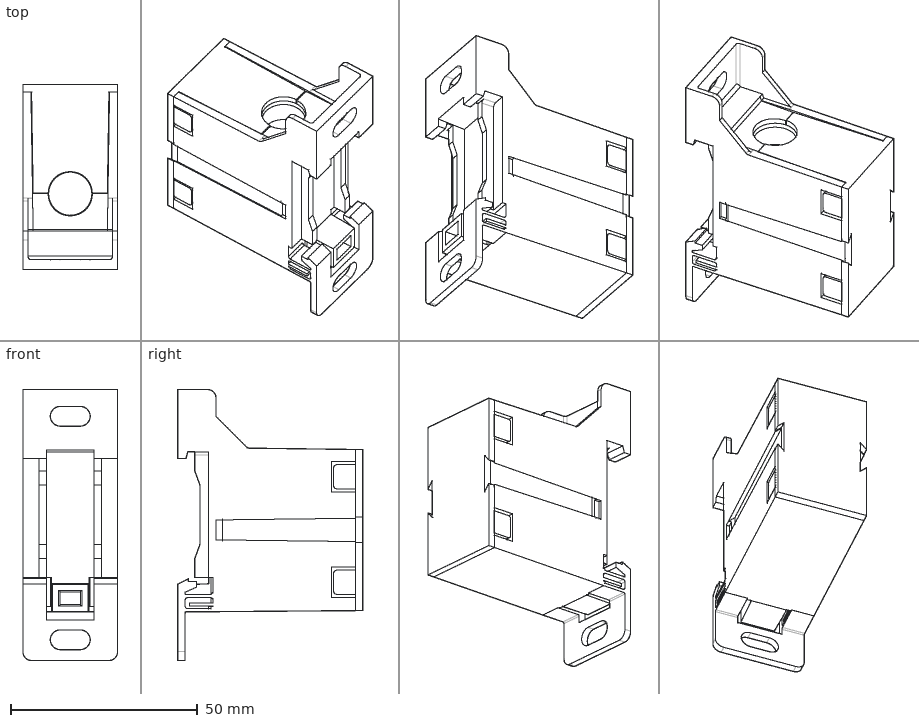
import cadquery as cq
import math


WIDTH = 25.4
DEPTH = 49.6
HEIGHT = 72.6
HALF_WIDTH = WIDTH / 2
CUT_MARGIN = 0.7

HOUSING_BACK = 47.5
HOUSING_FRONT = 8.3
BOX_BOTTOM = 13.05
BOX_BOTTOM_BACK = 13.35
BOX_TOP_BACK = 56.5
BOX_TOP_FRONT = 56.9
CAVITY_BACK_HALF = 10.5
CAVITY_FRONT_HALF = 9.95
CAVITY_FRONT = 10.75
CAVITY_FLOOR = 15.4

FLANGE_SLOPE_START = 18.7
FLANGE_SLOPE_TOP = 65.3
FLANGE_SLOPE_ROUND = 1.1
FLANGE_DEPTH = 10.3
FLANGE_PLATE = 2.7
FLANGE_CORNER = 2.3
FLANGE_FLOOR = 58.05
FLANGE_INNER_HALF_WIDTH = 11.25
FLANGE_FLOOR_BEVEL = 0.95
FLANGE_INNER_CORNER = 0.7
SHELF_STEP = 0.4
SHELF_TOP = 56.75
SHELF_SEAM_TOP = 56.3
UPPER_SLOT_Z = 65.4
LOWER_SLOT_Z = 5.6
SLOT_LENGTH = 10.6
SLOT_HEIGHT = 5.2

HOOK_BOTTOM = 54.1
HOOK_DEPTH = 2.25
HOOK_SLOPE_DEPTH = 2.75
SEAT_TOP = 55.9
SEAT_CORNER = 0.9
CENTRE_SEAT_TOP = 56.4

RIB_INNER = 6.3
RIB_OUTER = 8.35
RIB_BOTTOM = 22.2
RIB_END_FRONT = 4.6
RIB_MIDDLE_FRONT = 5.95
RIB_END_LENGTH = 5.15
RIB_RAMP_LENGTH = 3.8

FOOT_PLATE = 2.0
FOOT_CORNER = 2.4
NOTCH_BOTTOM = 10.9
POCKET_INNER = 5.0
POCKET_BACK = 9.4
POCKET_BEVEL = 0.2
POCKET_BOTTOM = 14.45
SPRING_CORNER = 0.6
UPPER_ARM_TOP = 17.7
SPRING_GAP_TOP = 16.8
SPRING_GAP_BOTTOM = 13.9
TONGUE_TOP = 15.45
TONGUE_BOTTOM = 14.6
TONGUE_FRONT = 3.2
HOOK_NOSE = [(0, 20.5), (2.9, 21.9), (2.9, 21.2), (5.1, 21.2), (5.1, 19.7), (1.95, 18.3)]
NOSE_ROOT = 0.255
FOOT_ROOT = 0.35

SOCKET_FRONT = 0.3
SOCKET_BASE = 8.9
SOCKET_HALF_WIDTH = 4.8
SOCKET_TOP_BASE = 20.6
SOCKET_TOP_FRONT = 20.3
RECESS_WIDTH = 6.25
RECESS_HEIGHT = 4.2
RECESS_Z = 16.7
RECESS_DEPTH = 7.25
RECESS_FLOOR_INSET = 0.4
RECESS_TAPER = math.degrees(math.atan(RECESS_FLOOR_INSET / RECESS_DEPTH))

GROOVE_Z = 35.0
GROOVE_DEPTH = 1.8
GROOVE_UNDERCUT = 1.95
GROOVE_BACK_HALF = 3.1
GROOVE_FRONT_HALF = 2.7
GROOVE_STEP = 12.0
GROOVE_END = 10.3
GROOVE_END_DEPTH = 0.9
PLATE_NOTCH_HALF = 3.4

WINDOW_FRONT = 41.2
WINDOW_HEIGHT = 8.05
TAB_FRONT = 41.7
TAB_HEIGHT = 6.45
TAB_CORNER = 0.9
TAB_SINK = 0.2
SNAP_Z = (21.0, 49.2)

LID_SEAM_Y = 20.3
PANEL_THICKNESS = 1.6
PANEL_BOTTOM = BOX_TOP_BACK - PANEL_THICKNESS
PANEL_GAP = 0.18

ACCESS_DIAMETER = 11.8
CORE_TOP = 53.7
CORE_HOLE_DIAMETER = 11.55
CORE_HOLE_DEPTH = 5.8
CONE_DEPTH = 2.75


def block(x, y, z):
    """Box between the (low, high) limits on each axis."""
    size = [limits[1] - limits[0] for limits in (x, y, z)]
    return cq.Workplane("XY").box(*size, centered=False).translate((x[0], y[0], z[0]))


def side_prism(points, x_low, x_high):
    """Prism along X with the given (Y, Z) outline."""
    return cq.Workplane("YZ").polyline(points).close().extrude(x_high - x_low).translate((x_low, 0, 0))


def cavity_half_width(y):
    """Half width between the side walls, which close in towards the front."""
    share = (y - CAVITY_FRONT) / (HOUSING_BACK - CAVITY_FRONT)
    return CAVITY_FRONT_HALF + share * (CAVITY_BACK_HALF - CAVITY_FRONT_HALF)


def cavity_block(y, z, gap=0):
    """Block between the tapering side walls, with a side gap to each of them."""
    front_half = cavity_half_width(y[0]) - gap
    back_half = cavity_half_width(y[1]) - gap
    corners = [(-front_half, y[0]), (front_half, y[0]), (back_half, y[1]), (-back_half, y[1])]
    return cq.Workplane("XY").polyline(corners).close().extrude(z[1] - z[0]).translate((0, 0, z[0]))


def edge_at(y, z):
    """Selects the edge along X that passes nearest to (y, z) at mid width."""
    return cq.selectors.NearestToPointSelector((0, y, z))


def both_sides(body):
    return body.union(body.mirror("YZ"))


def mounting_slot(z):
    slot = cq.Workplane("XZ").center(0, z).slot2D(SLOT_LENGTH, SLOT_HEIGHT)
    return slot.extrude(-(FLANGE_PLATE + CUT_MARGIN))


def housing_shell():
    outline = [
        (0, HOOK_BOTTOM),
        (0, HEIGHT),
        (FLANGE_DEPTH, HEIGHT),
        (FLANGE_DEPTH, FLANGE_SLOPE_TOP),
        (FLANGE_SLOPE_START, BOX_TOP_FRONT),
        (HOUSING_BACK, BOX_TOP_BACK),
        (HOUSING_BACK, BOX_BOTTOM_BACK),
        (HOUSING_FRONT, BOX_BOTTOM),
        (HOUSING_FRONT, SEAT_TOP),
        (HOOK_SLOPE_DEPTH, SEAT_TOP),
        (HOOK_DEPTH, HOOK_BOTTOM),
    ]
    shell = side_prism(outline, -HALF_WIDTH, HALF_WIDTH)
    shell = shell.edges(edge_at(FLANGE_DEPTH, HEIGHT)).fillet(FLANGE_CORNER)
    return shell.edges(edge_at(FLANGE_SLOPE_START, BOX_TOP_FRONT)).fillet(FLANGE_SLOPE_ROUND)


def flange_pocket():
    """Space behind the flange plate and between the flanks, with a bevelled foot."""
    behind_plate = [
        (FLANGE_PLATE, HEIGHT + CUT_MARGIN),
        (FLANGE_PLATE, FLANGE_FLOOR + FLANGE_FLOOR_BEVEL),
        (FLANGE_PLATE + FLANGE_FLOOR_BEVEL, FLANGE_FLOOR),
        (FLANGE_DEPTH, FLANGE_FLOOR),
        (FLANGE_DEPTH + SHELF_STEP, BOX_TOP_FRONT),
        (LID_SEAM_Y, BOX_TOP_FRONT),
        (LID_SEAM_Y, HEIGHT + CUT_MARGIN),
    ]
    upper = side_prism(behind_plate, -FLANGE_INNER_HALF_WIDTH, FLANGE_INNER_HALF_WIDTH)
    return upper.edges("|Z and <Y").fillet(FLANGE_INNER_CORNER)


def shelf_opening():
    """Space over the shelf, which falls gently from the flange to the lid seam."""
    shelf_start = FLANGE_DEPTH + SHELF_STEP
    outline = [
        (FLANGE_DEPTH, FLANGE_FLOOR),
        (shelf_start, SHELF_TOP),
        (LID_SEAM_Y, SHELF_SEAM_TOP),
        (LID_SEAM_Y, FLANGE_FLOOR),
    ]
    profile = side_prism(outline, -HALF_WIDTH, HALF_WIDTH)
    return profile.intersect(cavity_block((FLANGE_DEPTH, LID_SEAM_Y), (BOX_BOTTOM, HEIGHT)))


def cavity():
    inside = cavity_block((CAVITY_FRONT, HOUSING_BACK), (CAVITY_FLOOR, PANEL_BOTTOM))
    lid_opening = cavity_block((LID_SEAM_Y, HOUSING_BACK), (CAVITY_FLOOR, HEIGHT))
    return inside.union(lid_opening)


def rib_pair():
    ramp_low = RIB_BOTTOM + RIB_END_LENGTH
    ramp_high = SEAT_TOP - RIB_END_LENGTH
    outline = [
        (HOUSING_FRONT, RIB_BOTTOM),
        (RIB_END_FRONT, RIB_BOTTOM),
        (RIB_END_FRONT, ramp_low),
        (RIB_MIDDLE_FRONT, ramp_low + RIB_RAMP_LENGTH),
        (RIB_MIDDLE_FRONT, ramp_high - RIB_RAMP_LENGTH),
        (RIB_END_FRONT, ramp_high),
        (RIB_END_FRONT, SEAT_TOP),
        (HOUSING_FRONT, SEAT_TOP),
    ]
    return both_sides(side_prism(outline, RIB_INNER, RIB_OUTER))


def seat_corner_fillets():
    """Round between each rib's outer face and the ceiling of the rail seat."""
    centre_x = RIB_OUTER + SEAT_CORNER
    centre_z = SEAT_TOP - SEAT_CORNER
    length = HOUSING_FRONT - RIB_END_FRONT
    corner = block((RIB_OUTER, centre_x), (RIB_END_FRONT, HOUSING_FRONT), (centre_z, SEAT_TOP))
    rounding = cq.Workplane("XZ").center(centre_x, centre_z).circle(SEAT_CORNER).extrude(-length)
    return both_sides(corner.cut(rounding.translate((0, RIB_END_FRONT, 0))))


def centre_seat():
    """Channel through the hook between the ribs; its ceiling falls towards the back."""
    outline = [
        (0, HOOK_BOTTOM),
        (HOUSING_FRONT, HOOK_BOTTOM),
        (HOUSING_FRONT, SEAT_TOP),
        (0, CENTRE_SEAT_TOP),
    ]
    return side_prism(outline, -RIB_INNER, RIB_INNER)


def spring_pockets():
    """Side pockets round the spring arms, along the tapered sides of the socket block."""
    corners = [
        (SOCKET_HALF_WIDTH, SOCKET_FRONT),
        (HALF_WIDTH, SOCKET_FRONT),
        (HALF_WIDTH, POCKET_BACK),
        (POCKET_INNER + POCKET_BEVEL, POCKET_BACK),
        (POCKET_INNER, SOCKET_BASE),
    ]
    pocket = cq.Workplane("XY").polyline(corners).close().extrude(RIB_BOTTOM - POCKET_BOTTOM)
    below = block((POCKET_INNER, HALF_WIDTH), (0, SOCKET_BASE), (0, POCKET_BOTTOM))
    return both_sides(pocket.translate((0, 0, POCKET_BOTTOM)).union(below))


def foot_plate():
    plate = block((-HALF_WIDTH, HALF_WIDTH), (0, FOOT_PLATE), (0, NOTCH_BOTTOM))
    return plate.edges("|Y and <Z").fillet(FOOT_CORNER)


def spring_sides():
    """Hook nose, two spring arms and the tongue between them, on each side of the notch."""
    nose_root_y, nose_root_z = HOOK_NOSE[-1]
    outline = HOOK_NOSE + [
        (nose_root_y, UPPER_ARM_TOP),
        (POCKET_BACK - SPRING_CORNER, UPPER_ARM_TOP),
        (POCKET_BACK, UPPER_ARM_TOP + SPRING_CORNER),
        (POCKET_BACK, BOX_BOTTOM),
        (FOOT_PLATE, BOX_BOTTOM),
        (FOOT_PLATE, NOTCH_BOTTOM),
        (0, NOTCH_BOTTOM),
    ]
    x = (RIB_INNER, HALF_WIDTH)
    side = side_prism(outline, *x)
    for y, z, radius in (
        (nose_root_y, nose_root_z, NOSE_ROOT),
        (nose_root_y, UPPER_ARM_TOP, NOSE_ROOT),
        (FOOT_PLATE, BOX_BOTTOM, FOOT_ROOT),
    ):
        side = side.edges("|X").edges(edge_at(y, z)).fillet(radius)
    gap = block(x, (FOOT_PLATE, POCKET_BACK), (SPRING_GAP_BOTTOM, SPRING_GAP_TOP))
    tongue = block(x, (TONGUE_FRONT, POCKET_BACK), (TONGUE_BOTTOM, TONGUE_TOP))
    return both_sides(side.cut(gap.edges("|X").fillet(SPRING_CORNER)).union(tongue))


def socket_block():
    def section(y, half_width, top):
        corners = [
            (-half_width, BOX_BOTTOM),
            (half_width, BOX_BOTTOM),
            (half_width, top),
            (-half_width, top),
        ]
        return cq.Wire.makePolygon([cq.Vector(x, y, z) for x, z in corners], close=True)

    base = section(SOCKET_BASE, POCKET_INNER, SOCKET_TOP_BASE)
    front = section(SOCKET_FRONT, SOCKET_HALF_WIDTH, SOCKET_TOP_FRONT)
    solid = cq.Workplane(cq.Solid.makeLoft([base, front], True))
    recess = (
        cq.Workplane("XZ", origin=(0, SOCKET_FRONT, RECESS_Z))
        .rect(RECESS_WIDTH, RECESS_HEIGHT)
        .extrude(-RECESS_DEPTH, taper=RECESS_TAPER)
    )
    return solid.cut(recess)


def dovetail_section(y, mouth_half, depth):
    """Groove section that widens from its mouth in the +X side towards its floor."""
    floor_half = mouth_half + GROOVE_UNDERCUT * depth / GROOVE_DEPTH
    corners = [
        (HALF_WIDTH, -mouth_half),
        (HALF_WIDTH - depth, -floor_half),
        (HALF_WIDTH - depth, floor_half),
        (HALF_WIDTH, mouth_half),
    ]
    return cq.Wire.makePolygon([cq.Vector(x, y, GROOVE_Z + z) for x, z in corners], close=True)


def dovetail(back, front):
    """Groove stretch between two (Y, mouth half height, depth) stations, on both sides."""
    wires = [dovetail_section(*back), dovetail_section(*front)]
    return both_sides(cq.Workplane(cq.Solid.makeLoft(wires, True)))


def side_grooves():
    """Tapering dovetails from the back, each ending in a short, shallower, square-sided stretch."""
    straight = dovetail(
        (HOUSING_BACK, GROOVE_BACK_HALF, GROOVE_DEPTH),
        (GROOVE_STEP, GROOVE_FRONT_HALF, GROOVE_DEPTH),
    )
    end = block(
        (HALF_WIDTH - GROOVE_END_DEPTH, HALF_WIDTH),
        (GROOVE_END, GROOVE_STEP),
        (GROOVE_Z - GROOVE_FRONT_HALF, GROOVE_Z + GROOVE_FRONT_HALF),
    )
    return straight.union(both_sides(end))


def plate_notches():
    return dovetail(
        (DEPTH, PLATE_NOTCH_HALF, GROOVE_DEPTH),
        (HOUSING_BACK, PLATE_NOTCH_HALF, GROOVE_DEPTH),
    )


def snap_windows(z):
    """Openings through both side walls, open towards the lid plate."""
    window = block(
        (cavity_half_width(WINDOW_FRONT), HALF_WIDTH),
        (WINDOW_FRONT, HOUSING_BACK),
        (z - WINDOW_HEIGHT / 2, z + WINDOW_HEIGHT / 2),
    )
    return both_sides(window)


def snap_tabs(z):
    """Lid tabs that lie in the windows, just below the side faces."""
    tab = block(
        (CAVITY_BACK_HALF, HALF_WIDTH - TAB_SINK),
        (TAB_FRONT, HOUSING_BACK),
        (z - TAB_HEIGHT / 2, z + TAB_HEIGHT / 2),
    )
    return both_sides(tab.edges("|X and <Y").fillet(TAB_CORNER))


def access_hole():
    hole = cq.Workplane("XY", origin=(0, LID_SEAM_Y, CORE_TOP))
    return hole.circle(ACCESS_DIAMETER / 2).extrude(FLANGE_FLOOR - CORE_TOP)


def make_housing():
    housing = housing_shell().cut(flange_pocket()).cut(shelf_opening()).cut(cavity())
    housing = housing.cut(centre_seat()).union(rib_pair()).union(seat_corner_fillets())
    housing = housing.cut(spring_pockets()).union(spring_sides()).union(foot_plate())
    housing = housing.union(socket_block())
    for z in (UPPER_SLOT_Z, LOWER_SLOT_Z):
        housing = housing.cut(mounting_slot(z))
    for z in SNAP_Z:
        housing = housing.cut(snap_windows(z))
    return housing.cut(side_grooves()).cut(access_hole())


def make_lid():
    """Back plate with the top panel and four snap tabs."""
    plate = block((-HALF_WIDTH, HALF_WIDTH), (HOUSING_BACK, DEPTH), (BOX_BOTTOM_BACK, BOX_TOP_BACK))
    panel = cavity_block(
        (LID_SEAM_Y + PANEL_GAP, HOUSING_BACK),
        (PANEL_BOTTOM, BOX_TOP_BACK),
        PANEL_GAP,
    )
    lid = plate.cut(plate_notches()).union(panel)
    for z in SNAP_Z:
        lid = lid.union(snap_tabs(z))
    return lid.cut(access_hole())


def make_core():
    """Block that fills the cavity, with a cone-bottomed hole under the access hole."""
    core = cavity_block((CAVITY_FRONT, HOUSING_BACK), (CAVITY_FLOOR, CORE_TOP))
    radius = CORE_HOLE_DIAMETER / 2
    straight_bottom = CORE_TOP - CORE_HOLE_DEPTH
    hole_half = [
        (0, CORE_TOP),
        (radius, CORE_TOP),
        (radius, straight_bottom),
        (0, straight_bottom - CONE_DEPTH),
    ]
    hole = cq.Workplane("XZ").polyline(hole_half).close().revolve(360, (0, 0, 0), (0, 1, 0))
    return core.cut(hole.translate((0, LID_SEAM_Y, 0)))


housing = make_housing()
lid = make_lid()
core = make_core()

result = cq.Compound.makeCompound([housing.val(), lid.val(), core.val()])